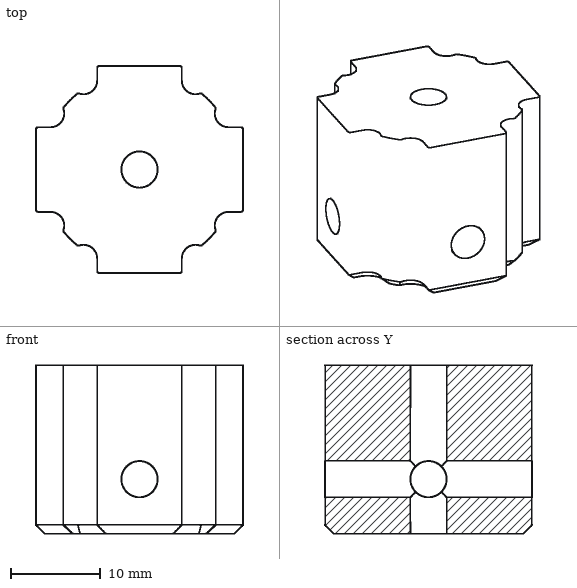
import cadquery as cq
import math

width = 23.1
height = 18.8
bottom_chamfer = 1.0

arm_width = 9.48
web_radius = 10.95
groove_radius = 1.5
groove_center_offset = 9.91
corner_fillet = 0.25

bore_diameter = 4.02
cross_bore_height = 6.1


def groove_web_corner():
    """Corner where a groove beside the +Y arm meets the web in the +X +Y quarter."""
    center_x = arm_width / 2 + groove_radius
    center_distance = math.hypot(center_x, groove_center_offset)
    center_angle = math.atan2(groove_center_offset, center_x)
    cos_swing = (web_radius**2 + center_distance**2 - groove_radius**2) / (2 * web_radius * center_distance)
    corner_angle = center_angle - math.acos(cos_swing)
    return web_radius * math.cos(corner_angle), web_radius * math.sin(corner_angle)


def make_body():
    """Prism with four arms, and two grooves and a web between neighboring arms."""
    half_width = width / 2
    half_arm = arm_width / 2
    groove_x = half_arm + groove_radius
    corner_x, corner_y = groove_web_corner()
    web_middle = web_radius * math.sqrt(0.5)

    end_angle = math.atan2(corner_y - groove_center_offset, corner_x - groove_x)
    middle_angle = (end_angle - math.pi) / 2
    middle_x = groove_x + groove_radius * math.cos(middle_angle)
    middle_y = groove_center_offset + groove_radius * math.sin(middle_angle)

    def turned(x, y, quarter):
        angle = quarter * math.pi / 2
        cosine = math.cos(angle)
        sine = math.sin(angle)
        return x * cosine - y * sine, x * sine + y * cosine

    outline = cq.Workplane("XY").moveTo(half_width, -half_arm)
    for quarter in range(4):
        outline = (
            outline
            .lineTo(*turned(half_width, half_arm, quarter))
            .lineTo(*turned(groove_center_offset, half_arm, quarter))
            .threePointArc(turned(middle_y, middle_x, quarter), turned(corner_y, corner_x, quarter))
            .threePointArc(turned(web_middle, web_middle, quarter), turned(corner_x, corner_y, quarter))
            .threePointArc(turned(middle_x, middle_y, quarter), turned(half_arm, groove_center_offset, quarter))
            .lineTo(*turned(half_arm, half_width, quarter))
        )
    return outline.close().extrude(height)


def round_outer_corners(body):
    """Round the arm corners and the corners between webs and grooves."""
    half_width = width / 2
    half_arm = arm_width / 2
    arm_corner_radius = math.hypot(half_width, half_arm)
    tolerance = 0.002

    def is_outer_corner(edge):
        center = edge.Center()
        radius = math.hypot(center.x, center.y)
        on_web = abs(radius - web_radius) < tolerance
        on_arm_corner = abs(radius - arm_corner_radius) < tolerance
        return on_web or on_arm_corner

    corners = [edge for edge in body.edges("|Z").vals() if is_outer_corner(edge)]
    return body.newObject(corners).fillet(corner_fillet)


def make_bore(plane):
    """Cylinder along the normal of a plane, reaching through the block."""
    return cq.Workplane(plane).circle(bore_diameter / 2).extrude(width, both=True)


prism = make_body()

chamfered_prism = prism.faces("<Z").chamfer(bottom_chamfer)
body = round_outer_corners(prism).intersect(chamfered_prism)

body = body.cut(make_bore("XY"))
for side_plane in ("XZ", "YZ"):
    body = body.cut(make_bore(side_plane).translate((0, 0, cross_bore_height)))

result = body